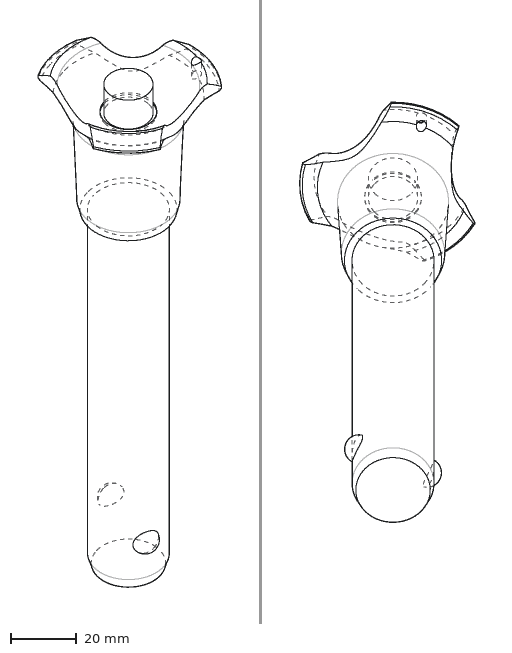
import cadquery as cq
import math

total_height = 192.7
shank_radius = 12.5
tip_radius = 11.4
tip_chamfer_height = 4.0

grip_bottom_z = 141.8
grip_chamfer_height = 4.0
grip_chamfer_width = 1.0
grip_bottom_radius = 15.8
grip_top_radius = 17.0
grip_top_z = 178.0

rim_radius = 28.5
rim_top_radius = 24.0
rim_upper_z = total_height - 3.3
rim_lower_z = total_height - 4.0
rim_bevel = 0.8
flare_edge_radius = 23.1
flare_edge_z = 187.0
flare_mid_radius = 18.7
flare_mid_z = 182.3

bowl_edge_radius = 21.8
bowl_edge_z = 191.4
bowl_center_z = 205.8
lip_mid_radius = 22.7
lip_mid_z = 192.3

button_radius = 7.5
button_top_z = 192.0
clearance_radius = 8.7
clearance_floor_z = 180.4

notch_depth_radius = 18.3
front_notch_curve = 57.8
side_notch_curve = 35.5
side_notch_angles = (30, 150)

lanyard_hole_radius = 1.5
lanyard_hole_y = 23.3

ball_radius = 4.5
ball_center_x = 11.2
ball_z = 18.0


def bowl_z(radius):
    """Height of the spherical bowl surface at a distance from the axis."""
    sphere_radius = math.hypot(bowl_edge_radius, bowl_center_z - bowl_edge_z)
    return bowl_center_z - math.sqrt(sphere_radius**2 - radius**2)


def make_body():
    """Shank, grip, flared head, bowl and button as one revolved profile."""
    bowl_mid_radius = (bowl_edge_radius + clearance_radius) / 2
    profile = (
        cq.Workplane("XZ")
        .lineTo(tip_radius, 0)
        .lineTo(shank_radius, tip_chamfer_height)
        .lineTo(shank_radius, grip_bottom_z)
        .lineTo(grip_bottom_radius - grip_chamfer_width, grip_bottom_z)
        .lineTo(grip_bottom_radius, grip_bottom_z + grip_chamfer_height)
        .lineTo(grip_top_radius, grip_top_z)
        .threePointArc((flare_mid_radius, flare_mid_z), (flare_edge_radius, flare_edge_z))
        .lineTo(rim_radius - rim_bevel, rim_lower_z - rim_bevel)
        .lineTo(rim_radius, rim_lower_z)
        .lineTo(rim_radius, rim_upper_z)
        .lineTo(rim_top_radius, total_height)
        .threePointArc((lip_mid_radius, lip_mid_z), (bowl_edge_radius, bowl_edge_z))
        .threePointArc(
            (bowl_mid_radius, bowl_z(bowl_mid_radius)),
            (clearance_radius, bowl_z(clearance_radius)),
        )
        .lineTo(clearance_radius, clearance_floor_z)
        .lineTo(button_radius, clearance_floor_z)
        .lineTo(button_radius, button_top_z)
        .lineTo(0, button_top_z)
        .close()
    )
    return profile.revolve(360, (0, 0, 0), (0, 1, 0))


def make_notch(angle, curve_radius):
    """Upright cylinder that scoops the head edge at a given angle about Z."""
    return (
        cq.Workplane("XY", origin=(0, 0, grip_top_z))
        .center(notch_depth_radius + curve_radius, 0)
        .circle(curve_radius)
        .extrude(total_height - grip_top_z)
        .rotate((0, 0, 0), (0, 0, 1), angle)
    )


def make_lanyard_hole():
    return (
        cq.Workplane("XY", origin=(0, lanyard_hole_y, grip_top_z))
        .circle(lanyard_hole_radius)
        .extrude(total_height - grip_top_z)
    )


result = make_body().cut(make_notch(-90, front_notch_curve))
for notch_angle in side_notch_angles:
    result = result.cut(make_notch(notch_angle, side_notch_curve))
result = result.cut(make_lanyard_hole())
for side in (-1, 1):
    ball = cq.Workplane("XY").sphere(ball_radius).translate((side * ball_center_x, 0, ball_z))
    result = result.union(ball)